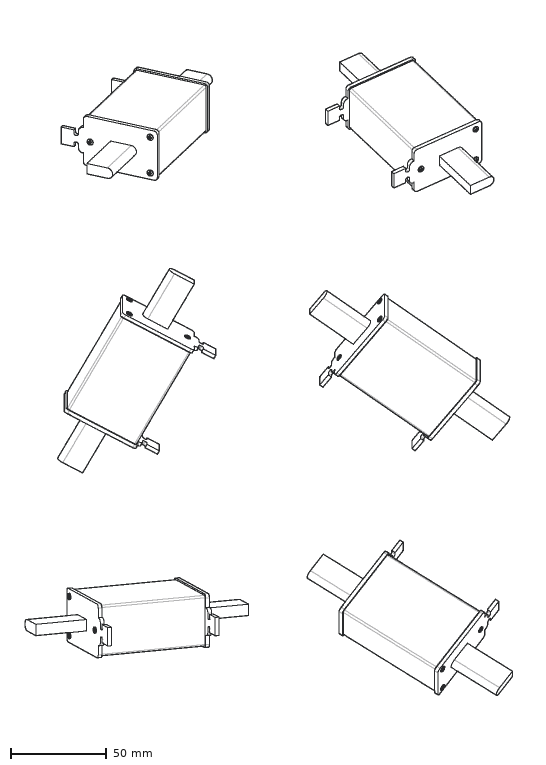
import cadquery as cq

overall_length = 121.0
plate_span = 63.3

plate_width = 43.1
plate_height = 29.0
plate_thickness = 2.2
plate_corner_radius = 1.9

lug_reach = 13.0
lug_height = 9.9
shoulder_reach = 2.9
shoulder_height = 15.0
shoulder_radius = 2.5
neck_height = 4.0
notch_width = 2.5
notch_radius = 1.0

box_inset = 0.8
box_corner_radius = plate_corner_radius - box_inset

blade_width = 15.0
blade_thickness = 6.2
blade_edge_gap = 12.1

head_diameter = 3.4
head_height = 1.0
head_rim_height = 0.5
recess_span = 1.9
recess_width = 0.4
recess_depth = 0.5
screw_edge_gap = 4.0
screw_pitch_x = 35.0
screw_pitch_z = 21.0

plate_left = -plate_width / 2
plate_right = plate_width / 2
plate_outer_y = plate_span / 2


def along_y(start_y):
    """Workplane drawn in X and Z at start_y; extrusion runs toward -Y."""
    return cq.Workplane("XZ", origin=(0, start_y, 0))


def rounded_block(width, height, radius, start_y, length):
    """Block along Y with its four lengthwise edges rounded."""
    block = along_y(start_y).rect(width, height).extrude(length)
    return block.edges("|Y").fillet(radius)


def lug(start_y):
    """Tab, notched neck and rounded shoulder, overlapping the plate by one shoulder reach."""
    shoulder_left = plate_left - shoulder_reach
    shoulder = (
        along_y(start_y)
        .center(plate_left, 0)
        .rect(2 * shoulder_reach, shoulder_height)
        .extrude(plate_thickness)
        .edges("|Y and <X")
        .fillet(shoulder_radius)
    )
    tab_left = plate_left - lug_reach
    tab_length = shoulder_left - tab_left
    tab = (
        along_y(start_y)
        .center(tab_left + tab_length / 2, 0)
        .rect(tab_length, lug_height)
        .extrude(plate_thickness)
    )
    notch_x = shoulder_left - notch_width / 2
    for side in (1, -1):
        notch = (
            along_y(start_y)
            .center(notch_x, side * (neck_height + lug_height) / 2)
            .rect(notch_width, lug_height)
            .extrude(plate_thickness)
            .edges("|Y")
            .fillet(notch_radius)
        )
        tab = tab.cut(notch)
    return shoulder.union(tab)


def end_plate(start_y):
    """Rounded plate with its pull lug."""
    plate = rounded_block(plate_width, plate_height, plate_corner_radius, start_y, plate_thickness)
    return plate.union(lug(start_y))


def blade():
    """Full-length bar with a square -X edge and a half-round +X edge."""
    radius = blade_thickness / 2
    right = plate_right - blade_edge_gap
    left = right - blade_width
    return (
        along_y(overall_length / 2)
        .moveTo(left, -radius)
        .lineTo(right - radius, -radius)
        .threePointArc((right, 0), (right - radius, radius))
        .lineTo(left, radius)
        .close()
        .extrude(overall_length)
    )


def build_fuse_body():
    """Box, end plates and contact blade as one solid."""
    body = rounded_block(
        plate_width - 2 * box_inset,
        plate_height - 2 * box_inset,
        box_corner_radius,
        plate_outer_y,
        plate_span,
    )
    body = body.union(end_plate(plate_outer_y))
    body = body.union(end_plate(plate_thickness - plate_outer_y))
    return body.union(blade())


def build_screw():
    """Screw head on the XY plane: straight rim, domed top and a cross recess."""
    rim_radius = head_diameter / 2
    dome_height = head_height - head_rim_height
    dome_radius = (rim_radius**2 + dome_height**2) / (2 * dome_height)
    head = (
        cq.Workplane("XZ")
        .lineTo(rim_radius, 0)
        .lineTo(rim_radius, head_rim_height)
        .radiusArc((0, head_height), -dome_radius)
        .close()
        .revolve(360, (0, 0, 0), (0, 1, 0))
    )
    for slot_x, slot_y in ((recess_span, recess_width), (recess_width, recess_span)):
        slot = (
            cq.Workplane("XY", origin=(0, 0, head_height - recess_depth))
            .rect(slot_x, slot_y)
            .extrude(recess_depth)
        )
        head = head.cut(slot)
    return head


def place_screws():
    """Three screws on the outer face of each end plate."""
    corner_x = plate_right - screw_edge_gap
    places = (
        (corner_x, screw_pitch_z / 2),
        (corner_x, -screw_pitch_z / 2),
        (corner_x - screw_pitch_x, 0),
    )
    screws = []
    for side in (1, -1):
        for x, z in places:
            screw = build_screw().rotate((0, 0, 0), (1, 0, 0), -90 * side)
            screws.append(screw.translate((x, side * plate_outer_y, z)).val())
    return screws


fuse_body = build_fuse_body()
screws = place_screws()

result = cq.Compound.makeCompound([fuse_body.val(), *screws])